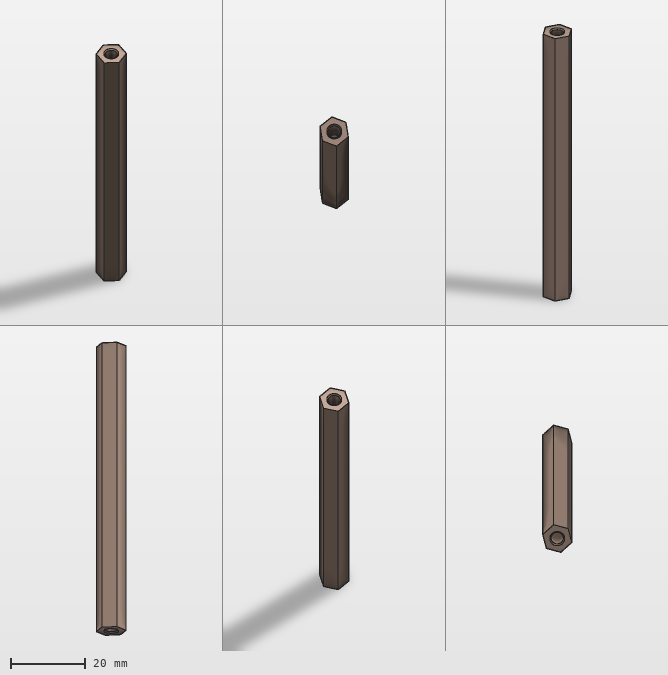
import cadquery as cq
import math

length = 80.0
across_flats = 7.0
across_corners = across_flats / math.cos(math.pi / 6)

bore_diameter = 3.3
mouth_diameter = 4.0
bore_depth = 12.0
mouth_chamfer = (mouth_diameter - bore_diameter) / 2

body = cq.Workplane("XY").polygon(6, across_corners).extrude(length)


def bored_end(part, face):
    """Drill a blind bore into one end face and countersink its mouth."""
    drilled = part.faces(face).workplane().hole(bore_diameter, bore_depth)
    return drilled.faces(face).edges("%CIRCLE").chamfer(mouth_chamfer)


result = body
for end_face in (">Z", "<Z"):
    result = bored_end(result, end_face)